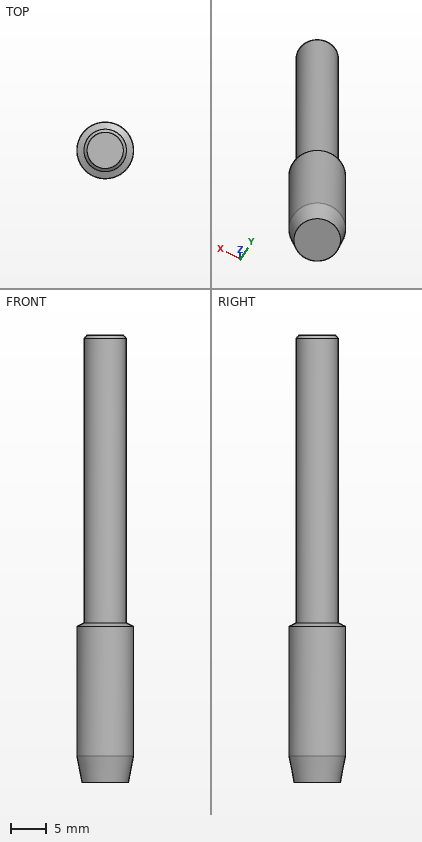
import cadquery as cq

total_length = 63.0

shank_diameter = 6.0
shank_chamfer = 0.45

head_diameter = 8.0
head_length = 22.5
shoulder_height = 0.5
nose_length = 3.8
nose_tip_diameter = 6.55

shank_radius = shank_diameter / 2
head_radius = head_diameter / 2
nose_tip_radius = nose_tip_diameter / 2
shank_length = total_length - head_length


def make_shank():
    """Straight round shank standing on the head, chamfered at its free top end."""
    shank = (
        cq.Workplane("XY")
        .workplane(offset=head_length)
        .circle(shank_radius)
        .extrude(shank_length)
    )
    return shank.faces(">Z").chamfer(shank_chamfer)


def make_head():
    """Solid head: tapered nose, cylinder, and a conical shoulder narrowing to the shank."""
    half_section = (
        cq.Workplane("XZ")
        .moveTo(0, 0)
        .lineTo(nose_tip_radius, 0)
        .lineTo(head_radius, nose_length)
        .lineTo(head_radius, head_length - shoulder_height)
        .lineTo(shank_radius, head_length)
        .lineTo(0, head_length)
        .close()
    )
    return half_section.revolve(360, (0, 0, 0), (0, 1, 0))


shank = make_shank()
head = make_head()

result = cq.Compound.makeCompound([shank.val(), head.val()])